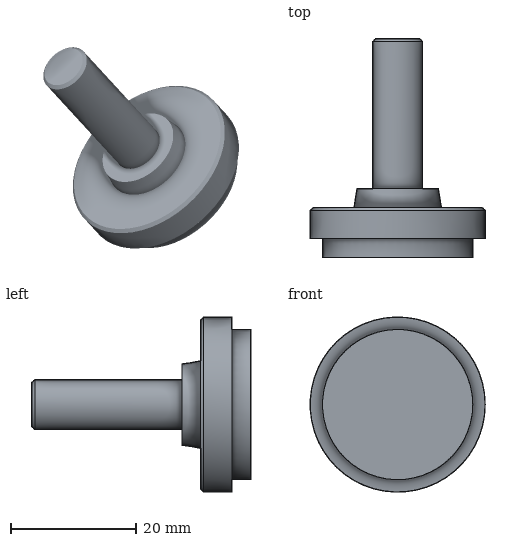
import cadquery as cq

total_length = 35.0
flange_diameter = 28.0

pad_diameter = 24.0
collar_base_diameter = 14.0
collar_top_diameter = 13.02
stud_diameter = 8.0

pad_thickness = 3.0
flange_thickness = 5.0
collar_height = 3.0
edge_chamfer = 0.5

flange_front = pad_thickness
flange_back = flange_front + flange_thickness
collar_top = flange_back + collar_height


def disc(diameter, start, end):
    """Solid cylinder about the Y axis between two Y positions."""
    return cq.Workplane("XZ", origin=(0, start, 0)).circle(diameter / 2).extrude(start - end)


def tapered_collar():
    """Conical collar narrowing from the flange towards the stud."""
    half_profile = (
        cq.Workplane("XY")
        .moveTo(0, flange_back)
        .lineTo(collar_base_diameter / 2, flange_back)
        .lineTo(collar_top_diameter / 2, collar_top)
        .lineTo(0, collar_top)
        .close()
    )
    return half_profile.revolve(360, (0, 0, 0), (0, 1, 0))


pad = disc(pad_diameter, 0, flange_front)
flange = disc(flange_diameter, flange_front, flange_back).faces(">Y").chamfer(edge_chamfer)
stud = disc(stud_diameter, collar_top, total_length).faces(">Y").chamfer(edge_chamfer)

result = pad.union(flange).union(tapered_collar()).union(stud)